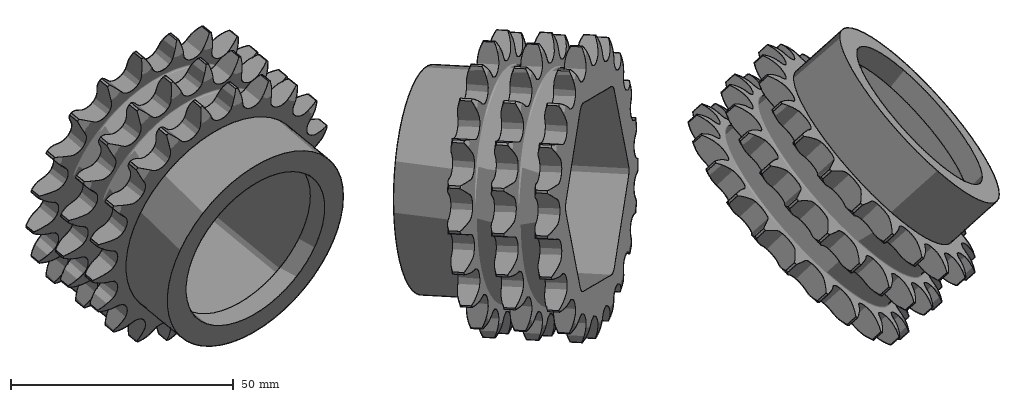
import cadquery as cq
import math


tooth_count = 21
roller_pitch_radius = 31.95
seat_radius = 3.2
seat_half_angle = 70 - 45 / tooth_count
tip_radius = 34.7
tip_width = 0.6

row_count = 3
row_spacing = 10.25
tooth_thickness = 5.1
tip_thickness = 2.7
side_rounding_radius = 30.1
row_end = (row_count - 1) * row_spacing + tooth_thickness

total_length = 40.0
hub_radius = 26.9
hub_fillet = 0.4
boss_radius = 26.0

hex_across_flats = 43.05
hex_corner_fillet = 3.0
hex_depth = 35.0
bore_radius = 20.45

cut_clearance = 1.4


def polar(radius, degrees):
    """Point on the plane at the given distance and angle from the axis."""
    angle = math.radians(degrees)
    return (radius * math.cos(angle), radius * math.sin(angle))


def tooth_disc(start):
    """Untoothed disc of one row, its sides curving in tangentially towards the tip."""
    end = start + tooth_thickness
    tip_inset = (tooth_thickness - tip_thickness) / 2
    rise = tip_radius - side_rounding_radius
    rounding = (rise**2 + tip_inset**2) / (2 * tip_inset)
    return (
        cq.Workplane("XY")
        .moveTo(start, 0)
        .lineTo(start, side_rounding_radius)
        .radiusArc((start + tip_inset, tip_radius), rounding)
        .lineTo(end - tip_inset, tip_radius)
        .radiusArc((end, side_rounding_radius), rounding)
        .lineTo(end, 0)
        .close()
        .revolve(360, (0, 0, 0), (1, 0, 0))
    )


def hub_section(start):
    """Hub between two rows, flaring into the tooth faces with a fillet at each end."""
    end = start + row_spacing - tooth_thickness
    return (
        cq.Workplane("XY")
        .moveTo(start, 0)
        .lineTo(start, hub_radius + hub_fillet)
        .radiusArc((start + hub_fillet, hub_radius), -hub_fillet)
        .lineTo(end - hub_fillet, hub_radius)
        .radiusArc((end, hub_radius + hub_fillet), -hub_fillet)
        .lineTo(end, 0)
        .close()
        .revolve(360, (0, 0, 0), (1, 0, 0))
    )


def tooth_gap():
    """Cutter for one gap, centred on +Y: a roller seat arc with tangent flank arcs."""
    seat_dx, seat_dy = polar(seat_radius, 180 - seat_half_angle)
    seat_end = (roller_pitch_radius + seat_dx, seat_dy)
    seat_bottom = (roller_pitch_radius - seat_radius, 0)
    half_pitch = 180 / tooth_count
    tip_half_angle = math.degrees(tip_width / 2 / tip_radius)
    flank_tip = polar(tip_radius, half_pitch - tip_half_angle)
    outer = polar(tip_radius + cut_clearance, half_pitch - tip_half_angle)

    chord_x = flank_tip[0] - seat_end[0]
    chord_y = flank_tip[1] - seat_end[1]
    normal_offset = abs(chord_x * seat_dx + chord_y * seat_dy) / seat_radius
    flank_radius = (chord_x**2 + chord_y**2) / (2 * normal_offset)
    return (
        cq.Workplane("YZ")
        .moveTo(outer[0], -outer[1])
        .lineTo(flank_tip[0], -flank_tip[1])
        .radiusArc((seat_end[0], -seat_end[1]), -flank_radius)
        .threePointArc(seat_bottom, seat_end)
        .radiusArc(flank_tip, -flank_radius)
        .lineTo(*outer)
        .close()
        .extrude(row_end)
    )


body = (
    cq.Workplane("YZ")
    .workplane(offset=row_end)
    .circle(boss_radius)
    .extrude(total_length - row_end)
)
for row in range(row_count):
    body = body.union(tooth_disc(row * row_spacing))
for row in range(row_count - 1):
    body = body.union(hub_section(row * row_spacing + tooth_thickness))

gap = tooth_gap()
for index in range(tooth_count):
    body = body.cut(gap.rotate((0, 0, 0), (1, 0, 0), index * 360 / tooth_count))

hex_across_corners = hex_across_flats / math.cos(math.radians(30))
socket = (
    cq.Workplane("YZ")
    .polygon(6, hex_across_corners)
    .extrude(hex_depth)
    .edges("|X")
    .fillet(hex_corner_fillet)
)
bore = cq.Workplane("YZ").circle(bore_radius).extrude(total_length)

result = body.cut(socket).cut(bore)